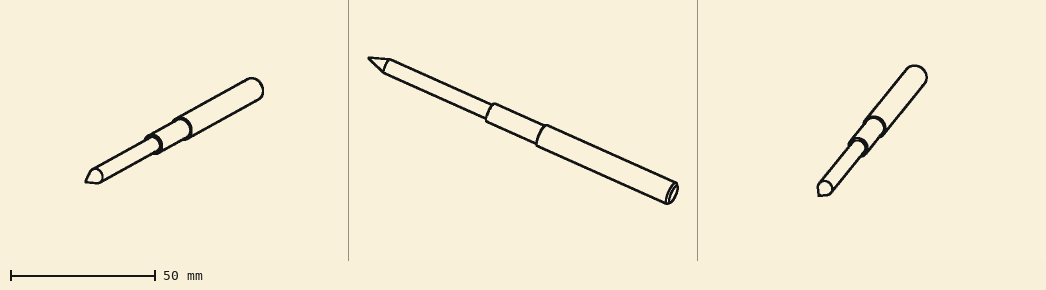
import cadquery as cq

total_length = 120.0
shank_length = 51.8
collar_length = 20.2
tip_length = 7.2

shank_diameter = 8.0
collar_diameter = 7.0
needle_diameter = 5.3
tip_diameter = 0.5

chamfer_size = 0.8

shank_radius = shank_diameter / 2
collar_radius = collar_diameter / 2
needle_radius = needle_diameter / 2
tip_radius = tip_diameter / 2

blunt_end_y = total_length / 2
tip_end_y = -total_length / 2
shank_end_y = blunt_end_y - shank_length
collar_end_y = shank_end_y - collar_length
tip_start_y = tip_end_y + tip_length

half_section = (
    cq.Workplane("XY")
    .moveTo(0, blunt_end_y)
    .lineTo(shank_radius - chamfer_size, blunt_end_y)
    .lineTo(shank_radius, blunt_end_y - chamfer_size)
    .lineTo(shank_radius, shank_end_y)
    .lineTo(collar_radius, shank_end_y)
    .lineTo(collar_radius, collar_end_y)
    .lineTo(needle_radius, collar_end_y)
    .lineTo(needle_radius, tip_start_y)
    .lineTo(tip_radius, tip_end_y)
    .lineTo(0, tip_end_y)
    .close()
)

result = half_section.revolve(360, (0, 0, 0), (0, 1, 0))